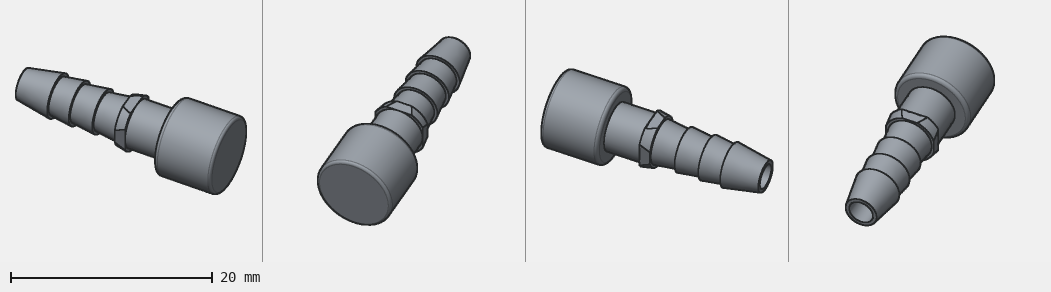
import cadquery as cq

TOTAL_LENGTH = 22.8
TIP_X = -TOTAL_LENGTH / 2
BARB_LENGTHS = (3.85, 2.4, 2.6, 2.6)
FLANGE_X = TIP_X + sum(BARB_LENGTHS)
FLANGE_LENGTH = 1.15
SHANK_LENGTH = 3.9
SHANK_X = FLANGE_X + FLANGE_LENGTH
CAP_X = SHANK_X + SHANK_LENGTH
CAP_LENGTH = TOTAL_LENGTH / 2 - CAP_X

TIP_RADIUS = 1.7
BARB_ROOT_RADIUS = 2.06
BARB_CREST_RADIUS = 2.4

SQUARE_SIDE = 5.2
FLANGE_FRONT_RADIUS = 2.72
FLANGE_BACK_RADIUS = 2.95
SHANK_RADIUS = SQUARE_SIDE / 2

CAP_RADIUS = 4.1
CAP_FRONT_FILLET = 0.4
CAP_BACK_FILLET = 0.3

BORE_RADIUS = 1.3
BORE_DEPTH = CAP_X - TIP_X
PIN_RADIUS = 0.8
PIN_NOSE_FILLET = 0.6
PIN_LENGTH = SHANK_LENGTH


def cylinder(start_x, radius, length):
    """Solid cylinder on the X axis."""
    return cq.Workplane("YZ", origin=(start_x, 0, 0)).circle(radius).extrude(length)


def cone(start_x, start_radius, end_radius, length):
    """Solid truncated cone on the X axis."""
    outline = [(0, 0), (0, start_radius), (length, end_radius), (length, 0)]
    profile = cq.Workplane("XY", origin=(start_x, 0, 0)).polyline(outline).close()
    return profile.revolve(360, (0, 0, 0), (1, 0, 0))


def make_barbs():
    """Row of tapered barbs; the first one starts from the narrow tip."""
    barbs = cone(TIP_X, TIP_RADIUS, BARB_CREST_RADIUS, BARB_LENGTHS[0])
    start_x = TIP_X + BARB_LENGTHS[0]
    for length in BARB_LENGTHS[1:]:
        barbs = barbs.union(cone(start_x, BARB_ROOT_RADIUS, BARB_CREST_RADIUS, length))
        start_x += length
    return barbs


def make_flange():
    """Square flange whose corners are trimmed by a cone."""
    front_plane = cq.Workplane("YZ", origin=(FLANGE_X, 0, 0))
    square = front_plane.rect(SQUARE_SIDE, SQUARE_SIDE).extrude(FLANGE_LENGTH)
    trim = cone(FLANGE_X, FLANGE_FRONT_RADIUS, FLANGE_BACK_RADIUS, FLANGE_LENGTH)
    return square.intersect(trim)


def make_cap():
    """Cylindrical cap with both rims rounded."""
    cap = cylinder(CAP_X, CAP_RADIUS, CAP_LENGTH)
    cap = cap.faces("<X").edges().fillet(CAP_FRONT_FILLET)
    return cap.faces(">X").edges().fillet(CAP_BACK_FILLET)


def make_pin():
    """Pin on the bore floor, its nose rounded down to a small flat."""
    pin = cylinder(TIP_X + BORE_DEPTH - PIN_LENGTH, PIN_RADIUS, PIN_LENGTH)
    return pin.faces("<X").edges().fillet(PIN_NOSE_FILLET)


shank = cylinder(SHANK_X, SHANK_RADIUS, SHANK_LENGTH)
bore = cylinder(TIP_X, BORE_RADIUS, BORE_DEPTH)

body = make_barbs().union(make_flange()).union(shank).union(make_cap())
result = body.cut(bore).union(make_pin())